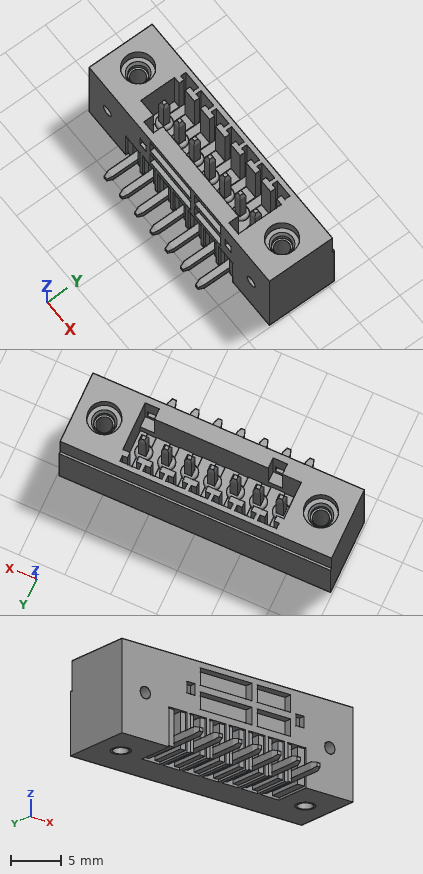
import cadquery as cq

LENGTH = 29.6
DEPTH = 8.1
HEIGHT = 10.1
BACK_STEP_DEPTH = 0.25
BACK_STEP_Z = 6.9

PIN_COUNT = 7
PIN_ROW_LENGTH = 15.0
PIN_PITCH = PIN_ROW_LENGTH / (PIN_COUNT - 1)
PIN_SIZE = 0.8
PIN_TIP_SIZE = 0.4
PIN_TIP_LENGTH = 0.62
PIN_ROW_Y = 3.85
TAIL_Z = 1.1
TAIL_REACH = 3.5
PIN_TOP_Z = 9.3

CAVITY_LENGTH = 17.55
CAVITY_FRONT_Y = 1.9
CAVITY_BACK_Y = 6.07
FLOOR_Z = 4.68
GROOVE_Z = 4.5
KEYWAY_NECK_WIDTH = 0.98
KEYWAY_HEAD_WIDTH = 2.07
KEYWAY_HEAD_FRONT_Y = 6.7
KEYWAY_BACK_Y = 7.3

BOSS_DIAMETER = 1.8
BOSS_FILLET = 0.3
BOSS_TOP_Z = FLOOR_Z + BOSS_FILLET

NOTCH_WIDTH = 1.55
NOTCH_FRONT_Y = 0.7
NOTCH_Z = 5.8
LEFT_NOTCH_X = -5.95
RIGHT_NOTCH_X = (CAVITY_LENGTH - NOTCH_WIDTH) / 2
WINDOW_WIDTH = 1.0
WINDOW_BOTTOM_Z = 6.33
WINDOW_TOP_Z = 7.58

LABEL_DEPTH = 0.9
LABEL_HEIGHT = 1.85
LABEL_BOTTOMS = (5.0, 7.58)
LABEL_SPANS = ((-4.77, 1.85), (2.55, 6.8))

POCKET_WIDTH = KEYWAY_HEAD_WIDTH
POCKET_DEPTH = 0.27
POCKET_TOP_Z = 4.25
UNDERCUT_HEIGHT = 0.27

MOUNT_X = 11.8
COUNTERBORE_DIAMETER = 3.5
COUNTERBORE_DEPTH = 1.2
COUNTERSINK_DIAMETER = 2.55
BUSH_DIAMETER = 2.1
BUSH_BORE = 1.7
BUSH_LENGTH = 8.0
COUNTERSINK_DEPTH = 0.38
COUNTERBORE_Z = HEIGHT - COUNTERBORE_DEPTH
COUNTERSINK_Z = COUNTERBORE_Z - COUNTERSINK_DEPTH
CROSS_HOLE_DIAMETER = 1.3
CROSS_HOLE_Z = 5.03

PIN_BACK_Y = PIN_ROW_Y + PIN_SIZE / 2
TAIL_BOTTOM_Z = TAIL_Z - PIN_SIZE / 2
PIN_XS = [(i - (PIN_COUNT - 1) / 2) * PIN_PITCH for i in range(PIN_COUNT)]
MOUNT_XS = (-MOUNT_X, MOUNT_X)


def block(x_span, y_span, z_span):
    """Box between two limits along each axis."""
    (x0, x1), (y0, y1), (z0, z1) = x_span, y_span, z_span
    return cq.Workplane("XY").box(x1 - x0, y1 - y0, z1 - z0, centered=False).translate((x0, y0, z0))


def centred(x, width):
    """Limits of a width centred on x."""
    return (x - width / 2, x + width / 2)


def cylinder(x, diameter, z_span):
    """Upright cylinder in the line of the pins."""
    bottom, top = z_span
    return cq.Workplane("XY", origin=(x, PIN_ROW_Y, bottom)).circle(diameter / 2).extrude(top - bottom)


def make_body():
    """Plain housing block, set back along the upper part of its rear face."""
    body = block(centred(0, LENGTH), (0, DEPTH), (0, HEIGHT))
    step = block(centred(0, LENGTH), (DEPTH - BACK_STEP_DEPTH, DEPTH), (BACK_STEP_Z, HEIGHT))
    return body.cut(step)


def cut_cavity(body):
    """Plug cavity with one T-shaped keyway behind each pin."""
    body = body.cut(
        block(centred(0, CAVITY_LENGTH), (CAVITY_FRONT_Y, CAVITY_BACK_Y), (FLOOR_Z, HEIGHT))
    )
    depth = (GROOVE_Z, HEIGHT)
    for x in PIN_XS:
        neck = block(centred(x, KEYWAY_NECK_WIDTH), (CAVITY_FRONT_Y, KEYWAY_BACK_Y), depth)
        head = block(centred(x, KEYWAY_HEAD_WIDTH), (KEYWAY_HEAD_FRONT_Y, KEYWAY_BACK_Y), depth)
        body = body.cut(neck).cut(head)
    return body


def add_bosses(body):
    """Rounded boss at the foot of each pin."""
    for x in PIN_XS:
        boss = cylinder(x, BOSS_DIAMETER, (GROOVE_Z, BOSS_TOP_Z)).faces(">Z").fillet(BOSS_FILLET)
        body = body.union(boss)
    return body


def cut_notches(body):
    """Latch notches and the windows that open into them."""
    for x in (LEFT_NOTCH_X, RIGHT_NOTCH_X):
        notch = block(centred(x, NOTCH_WIDTH), (NOTCH_FRONT_Y, CAVITY_FRONT_Y), (NOTCH_Z, HEIGHT))
        window = block(centred(x, WINDOW_WIDTH), (0, NOTCH_FRONT_Y), (WINDOW_BOTTOM_Z, WINDOW_TOP_Z))
        body = body.cut(notch).cut(window)
    return body


def cut_labels(body):
    """Two rows of rectangular label recesses."""
    for bottom in LABEL_BOTTOMS:
        for span in LABEL_SPANS:
            body = body.cut(block(span, (0, LABEL_DEPTH), (bottom, bottom + LABEL_HEIGHT)))
    return body


def cut_pin_openings(body):
    """Front pocket, undercut, slot and square hole for each pin; the end pockets reach the cavity ends."""
    cavity_end = CAVITY_LENGTH / 2
    for x in PIN_XS:
        left, right = centred(x, POCKET_WIDTH)
        if x == PIN_XS[0]:
            left = -cavity_end
        if x == PIN_XS[-1]:
            right = cavity_end
        pocket = block((left, right), (0, POCKET_DEPTH), (0, POCKET_TOP_Z))
        undercut = block((left, right), (0, PIN_BACK_Y), (0, UNDERCUT_HEIGHT))
        slot = block(centred(x, PIN_SIZE), (0, PIN_BACK_Y), (0, POCKET_TOP_Z))
        hole = block(centred(x, PIN_SIZE), centred(PIN_ROW_Y, PIN_SIZE), (0, BOSS_TOP_Z))
        body = body.cut(pocket).cut(undercut).cut(slot).cut(hole)
    return body


def cut_mounts(body):
    """Counterbored and countersunk bush holes, each met by a cross hole from the front."""
    for x in MOUNT_XS:
        counterbore = cylinder(x, COUNTERBORE_DIAMETER, (COUNTERBORE_Z, HEIGHT))
        countersink = cq.Solid.makeCone(
            BUSH_DIAMETER / 2,
            COUNTERSINK_DIAMETER / 2,
            COUNTERSINK_DEPTH,
            pnt=cq.Vector(x, PIN_ROW_Y, COUNTERSINK_Z),
        )
        bush_hole = cylinder(x, BUSH_DIAMETER, (0, COUNTERBORE_Z))
        cross_hole = (
            cq.Workplane("XZ", origin=(x, 0, CROSS_HOLE_Z))
            .circle(CROSS_HOLE_DIAMETER / 2)
            .extrude(-PIN_ROW_Y)
        )
        body = body.cut(counterbore).cut(countersink).cut(bush_hole).cut(cross_hole)
    return body


def make_housing():
    housing = cut_cavity(make_body())
    housing = add_bosses(housing)
    housing = cut_notches(housing)
    housing = cut_labels(housing)
    housing = cut_pin_openings(housing)
    return cut_mounts(housing)


def tapered_bar(plane, length):
    """Square bar along the plane's normal, tapering at its far end."""
    shank_length = length - PIN_TIP_LENGTH
    shank = cq.Workplane(plane).rect(PIN_SIZE, PIN_SIZE).extrude(shank_length)
    tip = (
        shank.faces(cq.selectors.DirectionMinMaxSelector(plane.zDir))
        .workplane()
        .rect(PIN_SIZE, PIN_SIZE)
        .workplane(offset=PIN_TIP_LENGTH)
        .rect(PIN_TIP_SIZE, PIN_TIP_SIZE)
        .loft(combine=False)
    )
    return shank.union(tip)


def make_pin(x):
    """Right-angled pin: an upright contact and a tail towards the front."""
    upright_plane = cq.Plane(origin=(x, PIN_ROW_Y, TAIL_BOTTOM_Z), xDir=(1, 0, 0), normal=(0, 0, 1))
    tail_plane = cq.Plane(origin=(x, PIN_BACK_Y, TAIL_Z), xDir=(1, 0, 0), normal=(0, -1, 0))
    upright = tapered_bar(upright_plane, PIN_TOP_Z - TAIL_BOTTOM_Z)
    tail = tapered_bar(tail_plane, PIN_BACK_Y + TAIL_REACH)
    return upright.union(tail)


def make_bush(x):
    """Plain tube in the lower part of a mounting hole, flush with the underside."""
    span = (0, BUSH_LENGTH)
    return cylinder(x, BUSH_DIAMETER, span).cut(cylinder(x, BUSH_BORE, span))


housing = make_housing()
pins = [make_pin(x) for x in PIN_XS]
bushes = [make_bush(x) for x in MOUNT_XS]

result = cq.Compound.makeCompound(
    [housing.val(), *[pin.val() for pin in pins], *[bush.val() for bush in bushes]]
)